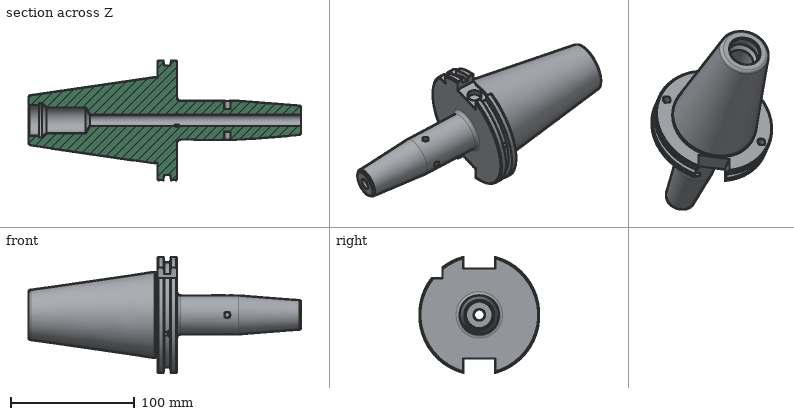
import cadquery as cq
import math


total_length = 221.8
gauge_x = 101.8
flange_back_x = gauge_x + 3.0
flange_front_x = gauge_x + 19.0
groove_x = gauge_x + 11.0
nose_x = 171.0

gauge_radius = 35.0
taper_half_slope = 7 / 48
taper_end_radius = gauge_radius - taper_half_slope * gauge_x
taper_end_fillet = 2.7
collar_length = 1.3
relief_radius = 34.5
relief_wall_length = 0.7

flange_radius = 48.8
flange_chamfer = 0.9
groove_depth = 4.0
groove_mouth_width = 6.0
groove_floor_width = 4.7

neck_radius = 16.0
neck_fillet = 2.9
nose_slope = math.tan(math.radians(4.5))
nose_end_radius = neck_radius - nose_slope * (total_length - nose_x)
nose_chamfer_length = 1.5
nose_chamfer_depth = 1.0

through_radius = 4.5
thread_root_radius = 10.5
thread_depth = 46.5
counterbore_radius = 12.5
counterbore_depth = 8.9
undercut_radius = 13.7
undercut_length = 2.5
mouth_radius = 13.0
mouth_chamfer_length = 1.0
drill_tip_slope = math.tan(math.radians(60))

keyway_width = 25.7
top_keyway_floor = 37.7
bottom_keyway_floor = 35.5
notch_corner = 30.0
chip_radius = 5.5
chip_depth = 5.0

coolant_circle_radius = 42.1
coolant_angle = 20.0
coolant_radius = 3.0
coolant_depth = 9.3
coolant_tip_length = 1.8
cross_drill_radius = 1.8
cross_drill_bore_x = 121.5
balance_x = 161.7
balance_radius = 2.5
balance_depth = 6.7
balance_count = 4


def turned(profile):
    """Revolve a closed (x, radius) profile about the X axis."""
    return profile.close().revolve(360, (0, 0, 0), (1, 0, 0))


def make_body():
    groove_floor_radius = flange_radius - groove_depth
    profile = (
        cq.Workplane("XY")
        .moveTo(0, 0)
        .lineTo(0, taper_end_radius)
        .lineTo(gauge_x, gauge_radius)
        .lineTo(gauge_x + collar_length, gauge_radius)
        .lineTo(gauge_x + collar_length + relief_wall_length, relief_radius)
        .lineTo(flange_back_x - relief_wall_length, relief_radius)
        .lineTo(flange_back_x, gauge_radius)
        .lineTo(flange_back_x, flange_radius - flange_chamfer)
        .lineTo(flange_back_x + flange_chamfer, flange_radius)
        .lineTo(groove_x - groove_mouth_width / 2, flange_radius)
        .lineTo(groove_x - groove_floor_width / 2, groove_floor_radius)
        .lineTo(groove_x + groove_floor_width / 2, groove_floor_radius)
        .lineTo(groove_x + groove_mouth_width / 2, flange_radius)
        .lineTo(flange_front_x - flange_chamfer, flange_radius)
        .lineTo(flange_front_x, flange_radius - flange_chamfer)
        .lineTo(flange_front_x, neck_radius + neck_fillet)
        .radiusArc((flange_front_x + neck_fillet, neck_radius), -neck_fillet)
        .lineTo(nose_x, neck_radius)
        .lineTo(total_length - nose_chamfer_length, nose_end_radius + nose_slope * nose_chamfer_length)
        .lineTo(total_length, nose_end_radius - nose_chamfer_depth)
        .lineTo(total_length, 0)
    )
    return turned(profile).faces("<X").edges().fillet(taper_end_fillet)


def make_bore():
    """Counterbore, undercut, 45 degree lead-in, thread core hole with drill tip, and through hole."""
    undercut_end = counterbore_depth + undercut_length
    tip_length = (thread_root_radius - through_radius) / drill_tip_slope
    profile = (
        cq.Workplane("XY")
        .moveTo(0, 0)
        .lineTo(0, mouth_radius)
        .lineTo(mouth_chamfer_length, counterbore_radius)
        .lineTo(counterbore_depth, counterbore_radius)
        .lineTo(counterbore_depth, undercut_radius)
        .lineTo(undercut_end, undercut_radius)
        .lineTo(undercut_end + undercut_radius - thread_root_radius, thread_root_radius)
        .lineTo(thread_depth, thread_root_radius)
        .lineTo(thread_depth + tip_length, through_radius)
        .lineTo(total_length, through_radius)
        .lineTo(total_length, 0)
    )
    return turned(profile)


def flange_cut(y_min, y_max, z_min, z_max):
    """Block across the whole flange thickness, for cutting its rim."""
    thickness = flange_front_x - flange_back_x
    block = cq.Workplane("XY").box(thickness, y_max - y_min, z_max - z_min, centered=False)
    return block.translate((flange_back_x, y_min, z_min))


def make_rim_cuts():
    half_key = keyway_width / 2
    top_keyway = flange_cut(-half_key, half_key, top_keyway_floor, flange_radius)
    bottom_keyway = flange_cut(-half_key, half_key, -flange_radius, -bottom_keyway_floor)
    notch = flange_cut(-flange_radius, -notch_corner, notch_corner, flange_radius)
    return top_keyway.union(bottom_keyway).union(notch)


def make_chip_pocket():
    return (
        cq.Workplane("XY", origin=(groove_x, 0, top_keyway_floor))
        .circle(chip_radius)
        .extrude(-chip_depth)
    )


def make_coolant_holes():
    """Two blind holes in the flange, each joined to the bore by a slanted drilling."""
    pit = (
        cq.Workplane("XY")
        .moveTo(flange_back_x, 0)
        .lineTo(flange_back_x, coolant_radius)
        .lineTo(flange_back_x + coolant_depth, coolant_radius)
        .lineTo(flange_back_x + coolant_depth + coolant_tip_length, 0)
    )
    hole = turned(pit).translate((0, coolant_circle_radius, 0))
    drill_start_radius = coolant_circle_radius - coolant_radius / 2
    pit_point = cq.Vector(flange_back_x + coolant_depth, drill_start_radius, 0)
    bore_point = cq.Vector(cross_drill_bore_x, 0, 0)
    path = bore_point - pit_point
    drilling = cq.Solid.makeCylinder(cross_drill_radius, path.Length, pit_point, path)
    hole = hole.union(cq.Workplane(drilling)).rotate((0, 0, 0), (1, 0, 0), coolant_angle)
    return hole.union(hole.rotate((0, 0, 0), (1, 0, 0), 180))


def make_balance_holes():
    hole = (
        cq.Workplane("XY", origin=(balance_x, 0, neck_radius - balance_depth))
        .circle(balance_radius)
        .extrude(neck_radius)
    )
    holes = cq.Workplane("XY")
    for i in range(balance_count):
        holes = holes.union(hole.rotate((0, 0, 0), (1, 0, 0), i * 360 / balance_count))
    return holes


result = (
    make_body()
    .cut(make_bore())
    .cut(make_rim_cuts())
    .cut(make_chip_pocket())
    .cut(make_coolant_holes())
    .cut(make_balance_holes())
)